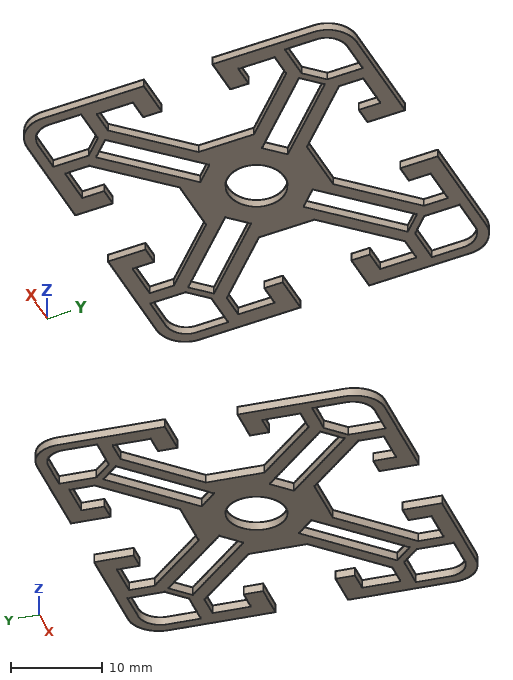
import cadquery as cq
import math

side = 40.0
thickness = 1.0
corner_radius = 3.5
quarters = 4

mouth_half_width = 4.15
lip_width = 2.25
lip_depth = 4.55
wall = 1.9
slot_half_width = 10.8
core_half_width = 7.7
arm_width = 6.15

bore_diameter = 6.8
window_width = 3.0
window_start = 6.0
window_end = 18.1
pocket_wall = 1.25
pocket_start = 12.35
pocket_radius = 2.5
pocket_chamfer = 2.1

half_side = side / 2
arm_angle = 180 / quarters
arm_offset = arm_width / math.sqrt(2)
lip_inner = mouth_half_width + lip_width
lip_tip = half_side - lip_depth
wall_inner = half_side - wall
pocket_end = half_side - pocket_wall


def t_slot():
    """Cutter for the T-slot open to the +Y side."""
    right_half = [
        (core_half_width - arm_offset, core_half_width),
        (slot_half_width, slot_half_width + arm_offset),
        (slot_half_width, wall_inner),
        (lip_inner, wall_inner),
        (lip_inner, lip_tip),
        (mouth_half_width, lip_tip),
        (mouth_half_width, half_side),
    ]
    left_half = [(-x, y) for x, y in reversed(right_half)]
    return cq.Workplane("XY").polyline(right_half + left_half).close().extrude(thickness)


def arm_window():
    """Cutter for the rectangular window along the arm toward (+X, +Y)."""
    length = window_end - window_start
    window = (
        cq.Workplane("XY")
        .center(window_start + length / 2, 0)
        .rect(length, window_width)
        .extrude(thickness)
    )
    return window.rotate((0, 0, 0), (0, 0, 1), arm_angle)


def corner_pocket():
    """Cutter for the window in the (+X, +Y) corner."""
    size = pocket_end - pocket_start
    pocket = (
        cq.Workplane("XY")
        .box(size, size, thickness, centered=False)
        .translate((pocket_start, pocket_start, 0))
    )
    pocket = pocket.edges("|Z").edges(">(1, 1, 0)").fillet(pocket_radius)
    return pocket.edges("|Z").edges("<(1, 1, 0)").chamfer(pocket_chamfer)


result = cq.Workplane("XY").box(side, side, thickness, centered=(True, True, False))
result = result.edges("|Z").fillet(corner_radius)
result = result.cut(cq.Workplane("XY").circle(bore_diameter / 2).extrude(thickness))

for cutter in (t_slot(), arm_window(), corner_pocket()):
    for quarter in range(quarters):
        result = result.cut(cutter.rotate((0, 0, 0), (0, 0, 1), quarter * 360 / quarters))